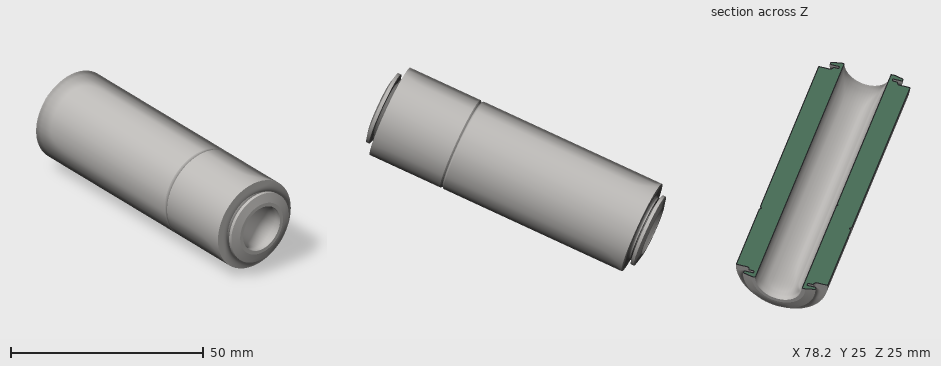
import cadquery as cq

length = 78.2
body_radius = 25.0 / 2
bore_radius = 12.7 / 2

sleeve_radius = 14.7 / 2
flange_radius = 19.8 / 2
flange_taper_end = 0.6
flange_back = 1.5

collar_radius = 8.8
collar_start = 2.0
collar_cone_start = 2.4
collar_base_radius = 9.2
body_start = 2.9

groove_center = 54.6
groove_half_width = 0.5
groove_depth = 0.5

end_profile = [
    (0, bore_radius),
    (0, sleeve_radius),
    (flange_taper_end, flange_radius),
    (flange_back, flange_radius),
    (flange_back, sleeve_radius),
    (collar_start, sleeve_radius),
    (collar_start, collar_radius),
    (collar_cone_start, collar_radius),
    (body_start, collar_base_radius),
    (body_start, body_radius),
]
groove_profile = [
    (groove_center - groove_half_width, body_radius),
    (groove_center, body_radius - groove_depth),
    (groove_center + groove_half_width, body_radius),
]

far_end_profile = [(length - x, radius) for x, radius in reversed(end_profile)]

result = (
    cq.Workplane("XY")
    .polyline(end_profile + groove_profile + far_end_profile)
    .close()
    .revolve(360, (0, 0, 0), (1, 0, 0))
    .translate((-length / 2, 0, 0))
)